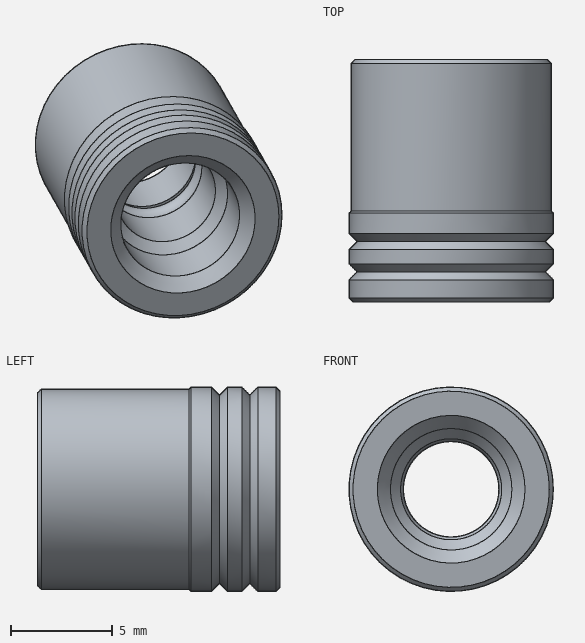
import cadquery as cq

LENGTH = 12.0
FRONT = -LENGTH / 2
REAR = LENGTH / 2
BODY_RADIUS = 4.95
EDGE_CHAMFER = 0.2

COLLAR_RADIUS = 5.05
COLLAR_LENGTH = 4.5
COLLAR_STEP = COLLAR_RADIUS - BODY_RADIUS
V_GROOVE_DEPTH = 0.4
FIRST_V_GROOVE = 1.5
V_GROOVE_PITCH = 1.5
V_GROOVE_COUNT = 2

ENTRY_RADIUS = 3.65
WIDE_BORE_RADIUS = 3.0
WIDE_BORE_DEPTH = 3.5
BORE_RADIUS = 2.5

SEAL_INNER_RADIUS = 2.35
SEAL_CORD_RADIUS = 0.75
SEAL_CENTRE_RADIUS = SEAL_INNER_RADIUS + SEAL_CORD_RADIUS
SEAL_GROOVE_RADIUS = SEAL_CENTRE_RADIUS + SEAL_CORD_RADIUS
NARROW_BORE_START = FRONT + WIDE_BORE_DEPTH + WIDE_BORE_RADIUS - BORE_RADIUS
SEAL_Y = (NARROW_BORE_START + REAR) / 2


def revolve_about_y(profile):
    """Turn a profile, drawn as (radius, y), about the Y axis."""
    return profile.revolve(360, (0, 0, 0), (0, 1, 0))


def make_outside():
    """Solid outer shape with the raised collar and chamfered ends."""
    points = [
        (0, FRONT),
        (COLLAR_RADIUS - EDGE_CHAMFER, FRONT),
        (COLLAR_RADIUS, FRONT + EDGE_CHAMFER),
        (COLLAR_RADIUS, FRONT + COLLAR_LENGTH - COLLAR_STEP),
        (BODY_RADIUS, FRONT + COLLAR_LENGTH),
        (BODY_RADIUS, REAR - EDGE_CHAMFER),
        (BODY_RADIUS - EDGE_CHAMFER, REAR),
        (0, REAR),
    ]
    return revolve_about_y(cq.Workplane("XY").polyline(points).close())


def make_v_groove(y):
    """Cutter for one 45 degree V groove around the collar."""
    points = [
        (COLLAR_RADIUS - V_GROOVE_DEPTH, y),
        (COLLAR_RADIUS, y - V_GROOVE_DEPTH),
        (COLLAR_RADIUS + V_GROOVE_DEPTH, y - V_GROOVE_DEPTH),
        (COLLAR_RADIUS + V_GROOVE_DEPTH, y + V_GROOVE_DEPTH),
        (COLLAR_RADIUS, y + V_GROOVE_DEPTH),
    ]
    return revolve_about_y(cq.Workplane("XY").polyline(points).close())


def make_bore():
    """Cutter for the stepped through bore and the seal groove."""
    points = [
        (0, FRONT),
        (ENTRY_RADIUS, FRONT),
        (WIDE_BORE_RADIUS, FRONT + ENTRY_RADIUS - WIDE_BORE_RADIUS),
        (WIDE_BORE_RADIUS, FRONT + WIDE_BORE_DEPTH),
        (BORE_RADIUS, NARROW_BORE_START),
        (BORE_RADIUS, SEAL_Y - SEAL_CORD_RADIUS),
        (SEAL_GROOVE_RADIUS, SEAL_Y - SEAL_CORD_RADIUS),
        (SEAL_GROOVE_RADIUS, SEAL_Y + SEAL_CORD_RADIUS),
        (BORE_RADIUS, SEAL_Y + SEAL_CORD_RADIUS),
        (BORE_RADIUS, REAR),
        (0, REAR),
    ]
    return revolve_about_y(cq.Workplane("XY").polyline(points).close())


def make_sleeve():
    """Sleeve with its V grooves and bore."""
    body = make_outside().cut(make_bore())
    for index in range(V_GROOVE_COUNT):
        body = body.cut(make_v_groove(FRONT + FIRST_V_GROOVE + index * V_GROOVE_PITCH))
    return body


def make_seal_ring():
    """Round-section ring that stands slightly proud of the bore."""
    cord = cq.Workplane("XY").center(SEAL_CENTRE_RADIUS, SEAL_Y).circle(SEAL_CORD_RADIUS)
    return cord.revolve(360, (-SEAL_CENTRE_RADIUS, 0, 0), (-SEAL_CENTRE_RADIUS, 1, 0))


sleeve = make_sleeve()
seal_ring = make_seal_ring()

result = cq.Compound.makeCompound([sleeve.val(), seal_ring.val()])